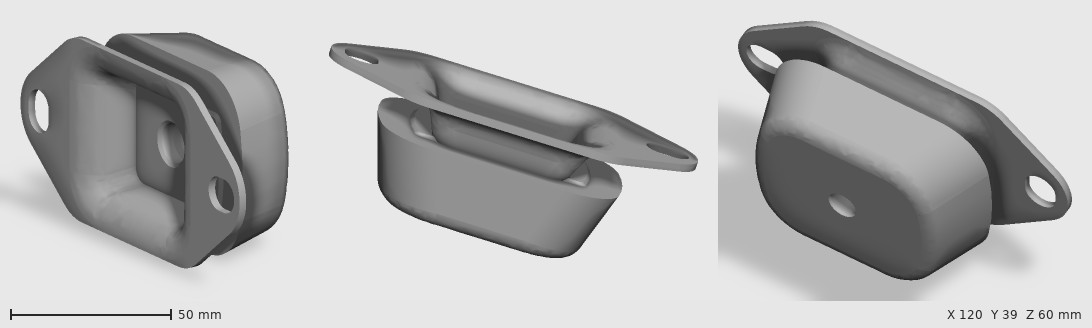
import cadquery as cq
import math


sheet = 2.5
flange_length = 120.0
flange_height = 60.0
outline_radius = 15.0
shoulder_x = 26.5

slot_x = 50.0
slot_length = 14.0
slot_width = 11.0

cup_depth = 15.5
floor_half_x = 19.2
floor_half_z = 17.15
cup_angle_x = 22.5
cup_angle_z = 15.0
cup_corner_radius = 5.0
cup_mouth_radius = 11.3
foot_reach_x = 32.0
foot_reach_z = 28.0
foot_margin = 0.1

cap_rim_y = 15.0
cap_back_y = 39.0
cap_half_x = 40.0
cap_half_z = 30.0
cap_angle_x = 17.3
cap_angle_z = 4.9
rim_straight_x = 21.0
back_straight_x = 13.3
rim_corner_radius = 18.0
back_corner_radius = 17.75
cap_edge_radius = 5.0

pad_inner_x = 20.5
pad_outer_x = 29.7
pad_corner_x = 27.6
pad_half_z = 17.4
pad_height = 1.0
pad_corner_radius = 3.0
pad_side_angle = 52.0

hole_diameter = 10.0
bore_diameter = 13.0
bore_depth = 5.4
mouth_chamfer = 1.0


def section(y):
    """Workplane across the part at depth y, with local axes X and Z."""
    return cq.Workplane("XZ", origin=(0, y, 0))


def lean(angle):
    """Sideways run per unit of depth for a wall leaning by angle."""
    return math.tan(math.radians(angle))


def make_flange():
    tip_x = flange_length / 2 - outline_radius
    shoulder_z = flange_height / 2 - outline_radius
    arc_centres = [
        (tip_x, 0),
        (shoulder_x, shoulder_z),
        (-shoulder_x, shoulder_z),
        (-tip_x, 0),
        (-shoulder_x, -shoulder_z),
        (shoulder_x, -shoulder_z),
    ]
    return section(0).polyline(arc_centres).close().offset2D(outline_radius).extrude(-sheet)


def make_slot(x, angle):
    return section(0).center(x, 0).slot2D(slot_length, slot_width, angle).extrude(-sheet)


def cup_frustum(end_y, offset):
    """Cup wall surface moved outwards by offset, from Y = 0 to end_y."""
    def half_sizes(y):
        rise = cup_depth - y
        half_x = floor_half_x + rise * lean(cup_angle_x) + offset / math.cos(math.radians(cup_angle_x))
        half_z = floor_half_z + rise * lean(cup_angle_z) + offset / math.cos(math.radians(cup_angle_z))
        return half_x, half_z

    mouth_x, mouth_z = half_sizes(0)
    end_x, end_z = half_sizes(end_y)
    frustum = (
        section(0)
        .rect(2 * mouth_x, 2 * mouth_z)
        .workplane(offset=-end_y)
        .rect(2 * end_x, 2 * end_z)
        .loft(ruled=True)
    )
    slanted = frustum.edges("not(#Y)")
    return slanted.fillet(cup_corner_radius + offset)


def blend_foot(body, y, radius):
    """Fillet the closed edge loop where the cup frustum meets the plate face at depth y."""
    foot = cq.selectors.BoxSelector(
        (-foot_reach_x, y - foot_margin, -foot_reach_z),
        (foot_reach_x, y + foot_margin, foot_reach_z),
        boundingbox=True,
    )
    return body.edges(foot).fillet(radius)


def make_flanged_neck():
    """Flange and cup exterior, blended together on the cap side of the flange."""
    joined = make_flange().union(cup_frustum(cup_depth + sheet, sheet))
    return blend_foot(joined, sheet, cup_mouth_radius - sheet)


def cap_outline(plane, half_x, half_z, straight_x, corner_radius):
    """Straight sides facing Z, bowed ends facing X, and corner arcs tangent to both."""
    corner_z = half_z - corner_radius
    reach_x = half_x - straight_x
    bow_radius = (reach_x**2 + corner_z**2 - corner_radius**2) / (2 * (reach_x - corner_radius))
    bow_angle = math.asin(corner_z / (bow_radius - corner_radius))
    bow_end_x = half_x - bow_radius * (1 - math.cos(bow_angle))
    bow_end_z = bow_radius * math.sin(bow_angle)
    middle_angle = (bow_angle + math.pi / 2) / 2
    middle_x = straight_x + corner_radius * math.cos(middle_angle)
    middle_z = corner_z + corner_radius * math.sin(middle_angle)
    return (
        plane
        .moveTo(-straight_x, half_z)
        .lineTo(straight_x, half_z)
        .threePointArc((middle_x, middle_z), (bow_end_x, bow_end_z))
        .threePointArc((half_x, 0), (bow_end_x, -bow_end_z))
        .threePointArc((middle_x, -middle_z), (straight_x, -half_z))
        .lineTo(-straight_x, -half_z)
        .threePointArc((-middle_x, -middle_z), (-bow_end_x, -bow_end_z))
        .threePointArc((-half_x, 0), (-bow_end_x, bow_end_z))
        .threePointArc((-middle_x, middle_z), (-straight_x, half_z))
        .close()
    )


def make_cap():
    length = cap_back_y - cap_rim_y
    rim = cap_outline(section(cap_rim_y), cap_half_x, cap_half_z, rim_straight_x, rim_corner_radius)
    rim_and_back = cap_outline(
        rim.workplane(offset=-length),
        cap_half_x - length * lean(cap_angle_x),
        cap_half_z - length * lean(cap_angle_z),
        back_straight_x,
        back_corner_radius,
    )
    return rim_and_back.loft(ruled=True).faces(">Y").edges().fillet(cap_edge_radius)


def make_pad(side):
    """Low pad with sloped sides on the cap rim; side is -1 or +1 along X."""
    corner_x = side * pad_corner_x
    blank = (
        section(cap_rim_y)
        .moveTo(side * pad_inner_x, pad_half_z)
        .lineTo(corner_x, pad_half_z)
        .threePointArc((side * pad_outer_x, 0), (corner_x, -pad_half_z))
        .lineTo(side * pad_inner_x, -pad_half_z)
        .close()
        .extrude(pad_height)
    )
    outer_corners = blank.edges("|Y").edges(">X" if side > 0 else "<X")
    base = outer_corners.fillet(pad_corner_radius).faces(">Y").wires().val()
    return section(cap_rim_y).add(base).toPending().extrude(pad_height, taper=pad_side_angle)


def make_recess():
    """Cup interior with its flared mouth, opening from a slab in front of the flange."""
    slab = section(0).rect(flange_length, flange_length).extrude(sheet)
    joined = slab.union(cup_frustum(cup_depth, 0))
    return blend_foot(joined, 0, cup_mouth_radius)


def make_hole():
    """Chamfered bore in the cup floor, narrowed by a 45 degree cone to a through hole."""
    hole_r = hole_diameter / 2
    bore_r = bore_diameter / 2
    cone_y = cup_depth + bore_depth
    return (
        cq.Workplane("XY")
        .moveTo(0, cup_depth)
        .lineTo(bore_r + mouth_chamfer, cup_depth)
        .lineTo(bore_r, cup_depth + mouth_chamfer)
        .lineTo(bore_r, cone_y)
        .lineTo(hole_r, cone_y + bore_r - hole_r)
        .lineTo(hole_r, cap_back_y)
        .lineTo(0, cap_back_y)
        .close()
        .revolve(360, (0, 0, 0), (0, 1, 0))
    )


mount = make_flanged_neck().union(make_cap())
for side in (-1, 1):
    mount = mount.union(make_pad(side))
mount = mount.cut(make_recess()).cut(make_hole())
result = mount.cut(make_slot(-slot_x, 90)).cut(make_slot(slot_x, 0))